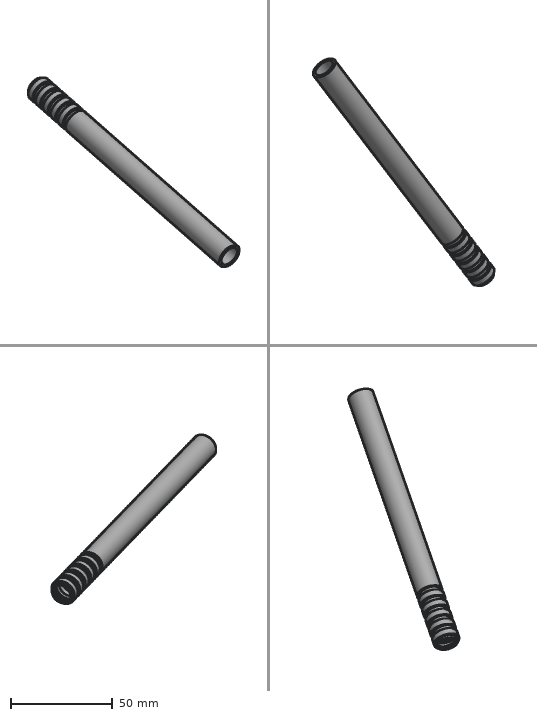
import cadquery as cq

length = 150.0
outer_diameter = 13.0
bore_diameter = 10.0

recess_diameter = 10.75
nose_length = 1.5
groove_count = 5
groove_pitch = 5.85
groove_width = 2.5
ring_width = groove_pitch - groove_width

inner_groove_diameter = 11.54
inner_groove_start = 1.87
inner_groove_width = 2.18


def cylinder_along_x(diameter, start, span):
    """Solid cylinder centred on the X axis."""
    return cq.Workplane("YZ").workplane(offset=start).circle(diameter / 2).extrude(span)


def build_tube():
    """Plain tube with its through bore."""
    return cylinder_along_x(outer_diameter, 0, length).cut(cylinder_along_x(bore_diameter, 0, length))


def cut_outer_recess(body, start, width):
    """Turn the outside down to the recess diameter over the given width."""
    removed_band = cylinder_along_x(outer_diameter, start, width)
    remaining_core = cylinder_along_x(recess_diameter, start, width)
    return body.cut(removed_band.cut(remaining_core))


def cut_outer_grooves(body):
    """Cut the nose and the row of evenly spaced outer grooves."""
    body = cut_outer_recess(body, 0, nose_length)
    for index in range(groove_count):
        groove_start = nose_length + ring_width + index * groove_pitch
        body = cut_outer_recess(body, groove_start, groove_width)
    return body


def cut_inner_groove(body):
    """Widen the bore into a groove under the first ring."""
    return body.cut(cylinder_along_x(inner_groove_diameter, inner_groove_start, inner_groove_width))


result = cut_inner_groove(cut_outer_grooves(build_tube()))